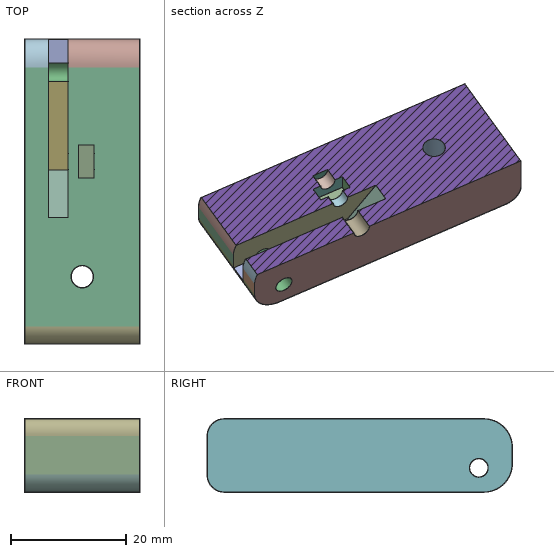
import cadquery as cq

width = 20.0
length = 53.0
height = 12.75
rear_radius = 5.0
front_radius = 3.0
x_left = -width / 2
y_rear = length / 2

slot_width = 3.4
slot_offset = 4.15
slot_floor_length = 22.75
slot_length = 31.0

pivot_diameter = 3.2
pivot_from_rear = 5.85
pivot_z = 4.25

pocket_width = 2.65
pocket_length = 5.7
pocket_offset = 9.4
pocket_from_rear = 21.3

pin_entry_diameter = 3.0
pin_diameter = 2.8
pin_depth_below_top = 2.8
pin_end_beyond_pocket = 2.65
pin_z = height - pin_depth_below_top
pocket_depth = 2 * pin_depth_below_top

mount_diameter = 3.8
mount_from_rear = 41.3


def make_body():
    block = cq.Workplane("XY").box(width, length, height, centered=(True, True, False))
    block = block.faces(">Y").edges("|X").fillet(rear_radius)
    return block.faces("<Y").edges("|X").fillet(front_radius)


def make_slot():
    """Side outline of the slot, extruded across its width; the floor meets the pivot axis."""
    profile = [
        (y_rear, pivot_z),
        (y_rear - slot_floor_length, pivot_z),
        (y_rear - slot_length, height),
        (y_rear, height),
    ]
    start = cq.Workplane("YZ").workplane(offset=x_left + slot_offset)
    return start.polyline(profile).close().extrude(slot_width)


def make_pocket():
    center_x = x_left + pocket_offset + pocket_width / 2
    top = cq.Workplane("XY").workplane(offset=height)
    top = top.center(center_x, y_rear - pocket_from_rear)
    return top.rect(pocket_width, pocket_length).extrude(-pocket_depth)


def make_cross_hole(from_rear, z, diameter, depth):
    """Cylinder running along +X from the left face."""
    left = cq.Workplane("YZ").workplane(offset=x_left)
    return left.center(y_rear - from_rear, z).circle(diameter / 2).extrude(depth)


def make_mount_hole():
    base = cq.Workplane("XY").center(0, y_rear - mount_from_rear)
    return base.circle(mount_diameter / 2).extrude(height)


pin_depth = pocket_offset + pocket_width + pin_end_beyond_pocket

result = (
    make_body()
    .cut(make_slot())
    .cut(make_pocket())
    .cut(make_cross_hole(pivot_from_rear, pivot_z, pivot_diameter, width))
    .cut(make_cross_hole(pocket_from_rear, pin_z, pin_entry_diameter, slot_offset))
    .cut(make_cross_hole(pocket_from_rear, pin_z, pin_diameter, pin_depth))
    .cut(make_mount_hole())
)